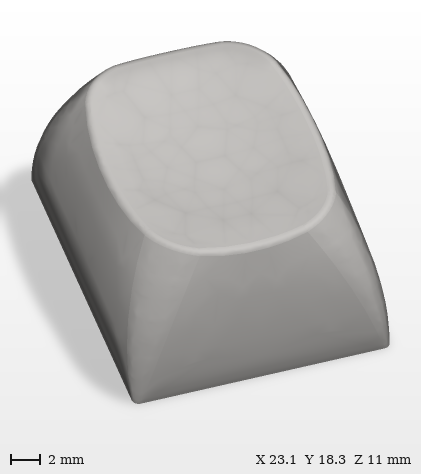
import cadquery as cq

key_pitch = 19.05
key_gap = 0.85
key_width_units = 1.25
base_x = key_pitch * key_width_units - key_gap
base_y = key_pitch - key_gap
taper = 5.0
top_x = base_x - taper
top_y = base_y - taper
side_bow = 1.7

body_height = 12.5
middle_level = body_height / 4

base_corner = 0.5
top_corner = 5.0
middle_corner = (top_corner - base_corner) / 3

dish_overrun = 2.0
dish_middle_depth = 2.8
dish_middle_edge_depth = 0.5
dish_middle_half_width = base_y / 2 + dish_overrun
dish_end_depth = 1.3
dish_end_edge_depth = 0.0
dish_end_half_width = base_y / 2 - dish_overrun
cutter_rise = body_height

rim_radius = 0.5


def base_outline(corner_radius):
    """Full-size rectangle with rounded corners."""
    return cq.Sketch().rect(base_x, base_y).vertices().fillet(corner_radius)


def top_outline():
    """Four outward-bowed sides with large rounded corners."""
    half_x = top_x / 2
    half_y = top_y / 2
    corner_x = half_x - side_bow
    corner_y = half_y - side_bow
    return (
        cq.Sketch()
        .arc((-corner_x, -corner_y), (-half_x, 0), (-corner_x, corner_y))
        .arc((-corner_x, corner_y), (0, half_y), (corner_x, corner_y))
        .arc((corner_x, corner_y), (half_x, 0), (corner_x, -corner_y))
        .arc((corner_x, -corner_y), (0, -half_y), (-corner_x, -corner_y))
        .assemble()
        .vertices()
        .fillet(top_corner)
    )


def outer_wire(sketch, level):
    """Outline of a sketch, raised to the given level."""
    raised = sketch.moved(cq.Location(cq.Vector(0, 0, level)))
    return raised.faces().val().outerWire()


def make_body():
    """Smooth loft: nearly upright at the base, leaning in towards the top."""
    outlines = [
        outer_wire(base_outline(base_corner), 0),
        outer_wire(base_outline(middle_corner), middle_level),
        outer_wire(top_outline(), body_height),
    ]
    return cq.Workplane(cq.Solid.makeLoft(outlines))


def dish_section(x, half_width, edge_depth, depth):
    """Cutter outline across Y at the given x, with an arc as its lower edge."""
    return (
        cq.Workplane("YZ", origin=(x, 0, body_height))
        .moveTo(-half_width, -edge_depth)
        .threePointArc((0, -depth), (half_width, -edge_depth))
        .lineTo(base_y / 2, cutter_rise)
        .lineTo(-base_y / 2, cutter_rise)
        .close()
        .val()
    )


def make_dish_cutter():
    """Smooth loft along X from a shallow end, through the deep middle, to the other end."""
    end_sizes = (dish_end_half_width, dish_end_edge_depth, dish_end_depth)
    middle_sizes = (dish_middle_half_width, dish_middle_edge_depth, dish_middle_depth)
    sections = [
        dish_section(base_x / 2, *end_sizes),
        dish_section(0, *middle_sizes),
        dish_section(-base_x / 2, *end_sizes),
    ]
    return cq.Solid.makeLoft(sections)


def round_rim(keycap):
    """Round the edge all the way around the dish."""
    return keycap.faces(">Z").edges().fillet(rim_radius)


result = round_rim(make_body().cut(make_dish_cutter()))